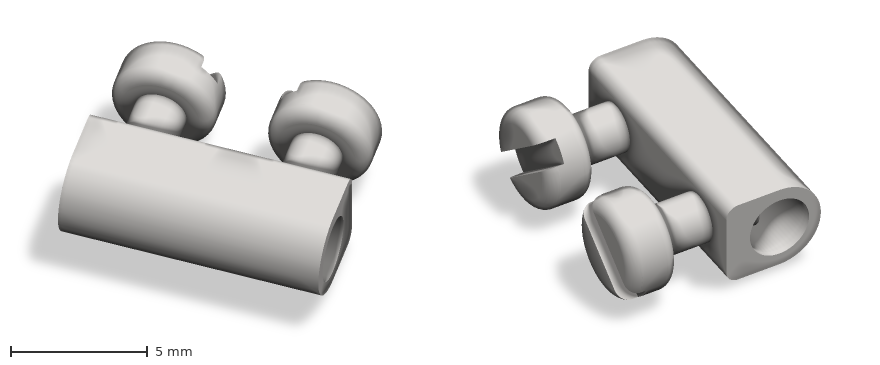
import cadquery as cq

body_length = 10.0
body_radius = 1.75
body_back = 2.25
body_corner_radius = 0.5
bore_diameter = 2.5

screw_positions = (-3.0, 3.0)
shank_diameter = 2.0
shank_length = 4.0
shank_gap = 2.0
head_diameter = 4.0
head_thickness = 2.0
head_edge_radius = 0.5
slot_width = 1.0
slot_depth = 0.75
slot_tilt = 40.0

head_bottom = body_back + shank_gap
head_top = head_bottom + head_thickness
shank_tip = head_bottom - shank_length


def make_body():
    """Bar with a flat back, a half-round front and a through bore."""
    profile = (
        cq.Workplane("YZ")
        .moveTo(body_back, -body_radius)
        .lineTo(body_back, body_radius)
        .lineTo(0, body_radius)
        .threePointArc((-body_radius, 0), (0, -body_radius))
        .close()
    )
    bar = profile.extrude(body_length / 2, both=True)
    bar = bar.faces(">Y").edges("|X").fillet(body_corner_radius)
    bore = cq.Workplane("YZ").circle(bore_diameter / 2).extrude(body_length / 2, both=True)
    return bar.cut(bore)


def cylinder_along_y(diameter, start, length):
    """Cylinder on the Y axis running from start towards +Y."""
    direction = cq.Vector(0, 1, 0)
    base = cq.Vector(0, start, 0)
    return cq.Workplane(cq.Solid.makeCylinder(diameter / 2, length, base, direction))


def make_screw(tilt):
    """Slotted screw on the Y axis; a positive tilt lifts the +X end of the slot."""
    shank = cylinder_along_y(shank_diameter, shank_tip, shank_length)
    head = cylinder_along_y(head_diameter, head_bottom, head_thickness)
    head = head.edges("%CIRCLE").fillet(head_edge_radius)
    slot = (
        cq.Workplane("XY")
        .box(head_diameter, slot_depth, slot_width)
        .translate((0, head_top - slot_depth / 2, 0))
        .rotate((0, 0, 0), (0, 1, 0), -tilt)
    )
    return head.cut(slot).union(shank)


result = make_body()
for screw_x in screw_positions:
    tilt = slot_tilt if screw_x < 0 else -slot_tilt
    result = result.union(make_screw(tilt).translate((screw_x, 0, 0)))